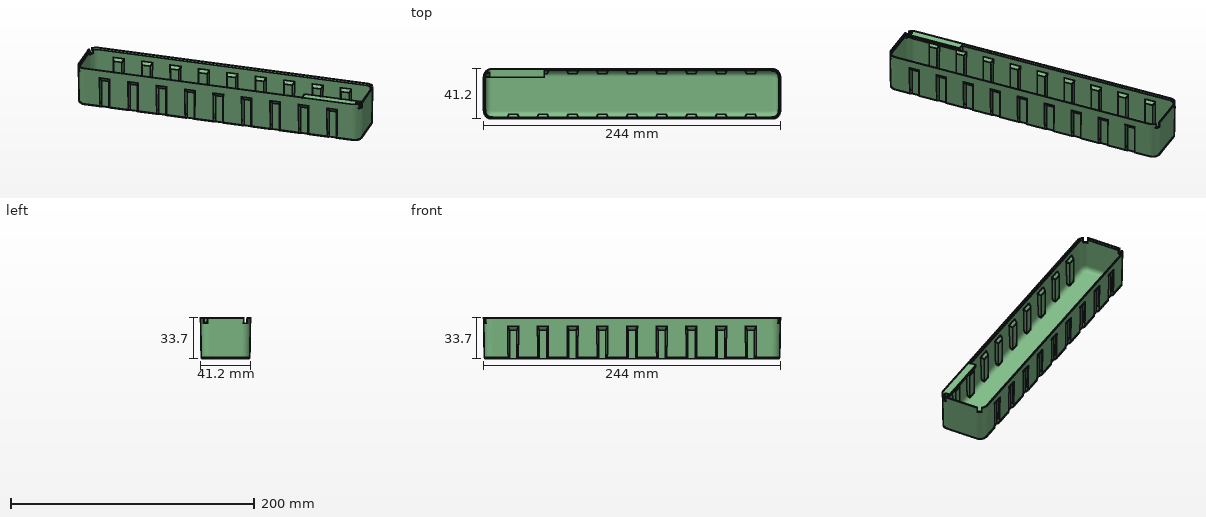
import cadquery as cq
import math

length = 244.0
width = 41.2
height = 33.7
corner_radius = 7.0
draft_angle = 1.0
wall = 1.3
floor_thickness = 1.2
outer_bottom_chamfer = 1.2
inner_bottom_fillet = 4.6

rim_flat = 0.5
rim_bevel_width = wall - rim_flat
rim_bevel_height = 1.3

guide_count = 9
guide_pitch = length / (guide_count + 1)
groove_depth = 2.5
groove_mouth_width = 9.2
groove_back_width = 6.0
groove_top_z = 27.1
groove_back_top_z = 23.7
rib_depth = 2.6
rib_root_width = 9.6
rib_crest_width = 7.0
rib_root_top_z = 27.3
rib_crest_top_z = 24.9

shelf_length = 50.0
shelf_width = 7.0
shelf_edge_thickness = 1.5
shelf_underside_angle = 45.0

slot_width = 3.6
slot_depth = 4.4
slot_shift = 0.4
slot_inner_radius = 4.5
slot_angle = 30.0

pocket_length = 5.0
pocket_near_offset = 3.0
pocket_far_offset = 6.0


def tapered_block(inset, bottom_z):
    """Rounded block, inset from the rim outline, narrowing from the rim down to bottom_z."""
    outline = (
        cq.Sketch()
        .rect(length - 2 * inset, width - 2 * inset)
        .vertices()
        .fillet(corner_radius - inset)
    )
    return (
        cq.Workplane("XY", origin=(0, 0, height))
        .placeSketch(outline)
        .extrude(bottom_z - height, taper=draft_angle)
    )


def tray_body():
    return tapered_block(0, 0).faces("<Z").edges().chamfer(outer_bottom_chamfer)


def tray_cavity():
    """Inner space with a rounded floor edge, opening out in a bevel at the rim."""
    cavity = tapered_block(wall, floor_thickness).faces("<Z").edges().fillet(inner_bottom_fillet)
    outline = (
        cq.Sketch()
        .rect(length - 2 * rim_flat, width - 2 * rim_flat)
        .vertices()
        .fillet(corner_radius - rim_flat)
    )
    bevel_angle = math.degrees(math.atan2(rim_bevel_width, rim_bevel_height))
    bevel = (
        cq.Workplane("XY", origin=(0, 0, height))
        .placeSketch(outline)
        .extrude(-rim_bevel_height, taper=bevel_angle)
    )
    return cavity.union(bevel)


def guide_wedge(mouth_y, back_y, mouth_width, back_width, mouth_top_z, back_top_z):
    """Upright bar of trapezoid plan with a sloping top, centred on X = 0."""
    plan = (
        cq.Workplane("XY")
        .polyline([
            (-mouth_width / 2, mouth_y),
            (mouth_width / 2, mouth_y),
            (back_width / 2, back_y),
            (-back_width / 2, back_y),
        ])
        .close()
        .extrude(height)
    )
    side = (
        cq.Workplane("YZ")
        .polyline([(mouth_y, 0), (back_y, 0), (back_y, back_top_z), (mouth_y, mouth_top_z)])
        .close()
        .extrude(mouth_width, both=True)
    )
    return plan.intersect(side)


def guide_row(wedge):
    """Repeat one guide of the -Y wall along X and mirror the row to the +Y wall."""
    row = cq.Workplane("XY")
    for index in range(guide_count):
        x = (index - (guide_count - 1) / 2) * guide_pitch
        row = row.add(wedge.translate((x, 0, 0)))
    row = row.combine()
    return row.union(row.mirror("XZ"))


def grooves():
    rim_y = -width / 2
    return guide_row(guide_wedge(
        rim_y, rim_y + groove_depth,
        groove_mouth_width, groove_back_width,
        groove_top_z, groove_back_top_z,
    ))


def ribs():
    inner_y = -width / 2 + wall
    return guide_row(guide_wedge(
        inner_y, inner_y + rib_depth,
        rib_root_width, rib_crest_width,
        rib_root_top_z, rib_crest_top_z,
    ))


def label_shelf():
    """Shelf on the +Y wall with a sloping underside, pocketed at its -X end."""
    rim_y = width / 2
    edge_y = rim_y - shelf_width
    edge_bottom_z = height - shelf_edge_thickness
    root_z = edge_bottom_z - shelf_width * math.tan(math.radians(shelf_underside_angle))
    shelf = (
        cq.Workplane("YZ", origin=(-length / 2, 0, 0))
        .polyline([(rim_y, height), (edge_y, height), (edge_y, edge_bottom_z), (rim_y, root_z)])
        .close()
        .extrude(shelf_length)
    )
    pocket = cq.Workplane("XY").box(
        pocket_length, pocket_far_offset - pocket_near_offset, slot_depth, centered=False
    ).translate((-length / 2, rim_y - pocket_far_offset, height - slot_depth))
    return shelf.cut(pocket)


def corner_slots():
    """Slot at the -X, +Y corner, mirrored to the other three corners."""
    arc_centre = (-length / 2 + corner_radius, width / 2 - corner_radius)
    slot_length = corner_radius
    slot = (
        cq.Workplane("XY")
        .box(slot_length, slot_width, slot_depth, centered=(False, True, False))
        .translate((-slot_length - slot_inner_radius, -slot_shift, height - slot_depth))
        .rotate((0, 0, 0), (0, 0, 1), -slot_angle)
        .translate((*arc_centre, 0))
    )
    end_pair = slot.union(slot.mirror("XZ"))
    return end_pair.union(end_pair.mirror("YZ"))


body = tray_body()
tray = body.cut(tray_cavity())
inner_features = ribs().union(label_shelf()).intersect(body)
result = tray.union(inner_features).cut(grooves()).cut(corner_slots())